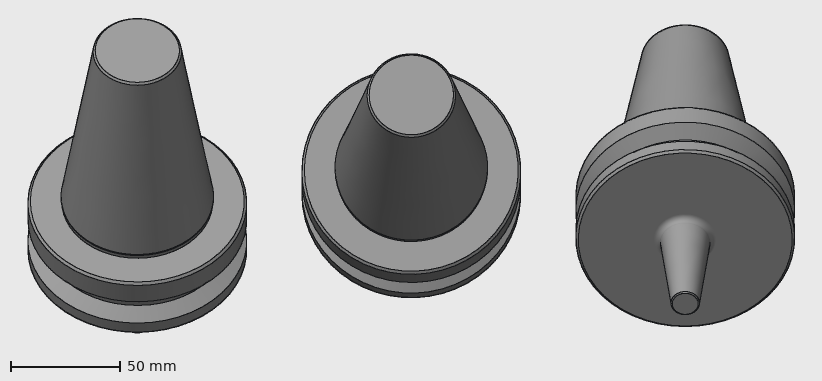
import cadquery as cq
import math

total_height = 189.8

taper_length = 102.0
gauge_radius = 35.0
taper_slope = 7 / 48
top_chamfer = 1.0
gauge_z = total_height - taper_length
top_radius = gauge_radius - taper_slope * taper_length

neck_radius = 34.5
neck_step = 1.1

flange_radius = 50.01
flange_top_z = gauge_z - 3.0
flange_bottom_z = gauge_z - 38.0
flange_chamfer = 1.1
groove_center_z = gauge_z - 23.0
groove_floor_radius = 42.9
groove_floor_width = 6.6
groove_side_angle = 30
groove_side_height = (flange_radius - groove_floor_radius) * math.tan(math.radians(groove_side_angle))
groove_floor_half = groove_floor_width / 2
groove_mouth_half = groove_floor_half + groove_side_height

nose_tip_radius = 6.5
nose_root_radius = 11.5
nose_chamfer = 0.5
nose_fillet = 2.8
nose_slope = (nose_root_radius - nose_tip_radius) / flange_bottom_z

nose_angle = math.atan(nose_slope)
fillet_center_z = flange_bottom_z - nose_fillet
fillet_center_radius = (
    nose_tip_radius + nose_slope * fillet_center_z + nose_fillet / math.cos(nose_angle)
)


def fillet_point(angle):
    """Point on the nose fillet; zero angle faces the axis and a right angle faces up."""
    return (
        fillet_center_radius - nose_fillet * math.cos(angle),
        fillet_center_z + nose_fillet * math.sin(angle),
    )


fillet_start_angle = -nose_angle
fillet_end_angle = math.pi / 2
fillet_mid_angle = (fillet_start_angle + fillet_end_angle) / 2

profile = (
    cq.Workplane("XZ")
    .moveTo(0, 0)
    .lineTo(nose_tip_radius + nose_slope * nose_chamfer - nose_chamfer, 0)
    .lineTo(nose_tip_radius + nose_slope * nose_chamfer, nose_chamfer)
    .lineTo(*fillet_point(fillet_start_angle))
    .threePointArc(fillet_point(fillet_mid_angle), fillet_point(fillet_end_angle))
    .lineTo(flange_radius - flange_chamfer, flange_bottom_z)
    .lineTo(flange_radius, flange_bottom_z + flange_chamfer)
    .lineTo(flange_radius, groove_center_z - groove_mouth_half)
    .lineTo(groove_floor_radius, groove_center_z - groove_floor_half)
    .lineTo(groove_floor_radius, groove_center_z + groove_floor_half)
    .lineTo(flange_radius, groove_center_z + groove_mouth_half)
    .lineTo(flange_radius, flange_top_z - flange_chamfer)
    .lineTo(flange_radius - flange_chamfer, flange_top_z)
    .lineTo(neck_radius, flange_top_z)
    .lineTo(neck_radius, gauge_z - neck_step)
    .lineTo(gauge_radius, gauge_z)
    .lineTo(top_radius + taper_slope * top_chamfer, total_height - top_chamfer)
    .lineTo(top_radius + taper_slope * top_chamfer - top_chamfer, total_height)
    .lineTo(0, total_height)
    .close()
)

result = profile.revolve(360, (0, 0, 0), (0, 1, 0))